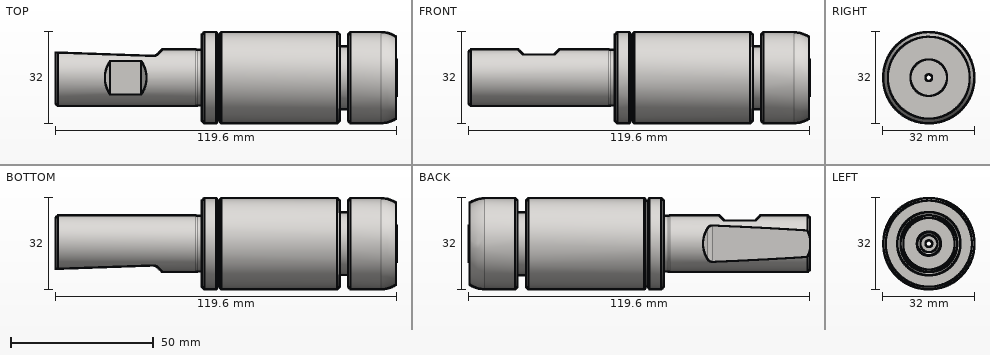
import cadquery as cq
import math

length = 119.6
body_radius = 32.0 / 2

shank_radius = 20.0 / 2
shank_chamfer = 1.0

relief_start = 49.0
relief_radius = 19.6 / 2
relief_ramp = 0.7
relief_fillet = 0.4
face_relief_radius = 22.2 / 2
face_relief_depth = 0.1

flange_start = 51.2
flange_end = 56.2
edge_chamfer = 1.0

groove_radius = 15.1
groove_floor_start = 56.8
body_start = 57.6
body_front_chamfer = 0.5

body_end = 99.5
neck_radius = 22.1 / 2
head_start = 102.4
dome_start = 114.0
dome_end = 119.2
dome_end_radius = 14.4
end_boss_radius = 12.8 / 2

bore_radius = 8.0 / 2
bore_mouth_chamfer = 0.2
bore_depth = 43.0
inner_bore_radius = 6.0 / 2
inner_bore_depth = 71.8
through_radius = 2.3 / 2
bore_cone_angle = 59.0

pocket_floor_start = 19.1
pocket_floor_end = 30.0
pocket_floor_height = 8.1

flat_low_offset = 7.7
flat_end = 35.2
flat_tilt = 2.0
flat_runout_radius = 2.4


def turned_body():
    """Revolve the outer profile about the X axis."""
    dome_drop = body_radius - dome_end_radius
    dome_length = dome_end - dome_start
    dome_radius = (dome_length**2 + dome_drop**2) / (2 * dome_drop)
    half_angle = math.asin(dome_length / dome_radius) / 2
    dome_middle = (
        dome_start + dome_radius * math.sin(half_angle),
        body_radius - dome_radius * (1 - math.cos(half_angle)),
    )
    relief_wall = flange_start + face_relief_depth
    fillet_middle = (
        relief_wall - relief_fillet * (1 - math.sin(math.pi / 4)),
        relief_radius + relief_fillet * (1 - math.cos(math.pi / 4)),
    )
    chamfered_radius = body_radius - edge_chamfer
    profile = (
        cq.Workplane("XY")
        .moveTo(0, 0)
        .lineTo(0, shank_radius - shank_chamfer)
        .lineTo(shank_chamfer, shank_radius)
        .lineTo(relief_start, shank_radius)
        .lineTo(relief_start + relief_ramp, relief_radius)
        .lineTo(relief_wall - relief_fillet, relief_radius)
        .threePointArc(fillet_middle, (relief_wall, relief_radius + relief_fillet))
        .lineTo(relief_wall, face_relief_radius - face_relief_depth)
        .lineTo(flange_start, face_relief_radius)
        .lineTo(flange_start, chamfered_radius)
        .lineTo(flange_start + edge_chamfer, body_radius)
        .lineTo(flange_end, body_radius)
        .lineTo(groove_floor_start, groove_radius)
        .lineTo(body_start, groove_radius)
        .lineTo(body_start, body_radius - body_front_chamfer)
        .lineTo(body_start + body_front_chamfer, body_radius)
        .lineTo(body_end - edge_chamfer, body_radius)
        .lineTo(body_end, chamfered_radius)
        .lineTo(body_end, neck_radius)
        .lineTo(head_start, neck_radius)
        .lineTo(head_start, chamfered_radius)
        .lineTo(head_start + edge_chamfer, body_radius)
        .lineTo(dome_start, body_radius)
        .threePointArc(dome_middle, (dome_end, dome_end_radius))
        .lineTo(dome_end, end_boss_radius)
        .lineTo(length, end_boss_radius)
        .lineTo(length, 0)
        .close()
    )
    return profile.revolve(360, (0, 0, 0), (1, 0, 0))


def stepped_bore():
    """Bore with a chamfered mouth, a conical step, a flat floor and a small through hole."""
    cone_length = (bore_radius - inner_bore_radius) / math.tan(math.radians(bore_cone_angle))
    profile = (
        cq.Workplane("XY")
        .moveTo(0, 0)
        .lineTo(0, bore_radius + bore_mouth_chamfer)
        .lineTo(bore_mouth_chamfer, bore_radius)
        .lineTo(bore_depth, bore_radius)
        .lineTo(bore_depth + cone_length, inner_bore_radius)
        .lineTo(inner_bore_depth, inner_bore_radius)
        .lineTo(inner_bore_depth, through_radius)
        .lineTo(length, through_radius)
        .lineTo(length, 0)
        .close()
    )
    return profile.revolve(360, (0, 0, 0), (1, 0, 0))


def clamping_pocket():
    """Flat-floored notch with 45 degree ends, cut across the top of the shank."""
    depth = shank_radius - pocket_floor_height
    profile = (
        cq.Workplane("XZ")
        .moveTo(pocket_floor_start, pocket_floor_height)
        .lineTo(pocket_floor_end, pocket_floor_height)
        .lineTo(pocket_floor_end + depth, shank_radius)
        .lineTo(pocket_floor_start - depth, shank_radius)
        .close()
    )
    return profile.extrude(shank_radius, both=True)


def tilted_flat():
    """Flat that sinks from the shank end and runs out through a rounded corner into a 45 degree ramp."""
    offset_at_shank_end = flat_low_offset + flat_end * math.tan(math.radians(flat_tilt))
    profile = (
        cq.Workplane("XY")
        .moveTo(0, offset_at_shank_end)
        .lineTo(flat_end, flat_low_offset)
        .lineTo(flat_end + shank_radius - flat_low_offset, shank_radius)
        .lineTo(0, shank_radius)
        .close()
    )
    cutter = profile.extrude(shank_radius, both=True)
    return cutter.edges("|Z").edges("<Y").fillet(flat_runout_radius)


result = turned_body().cut(stepped_bore()).cut(clamping_pocket()).cut(tilted_flat())